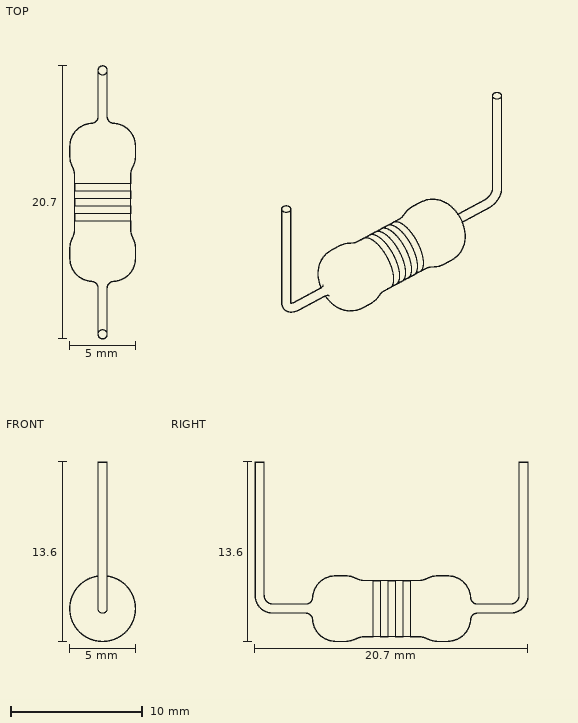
import math

import cadquery as cq

lead_diameter = 0.7
lead_pitch = 20.0
lead_height = 11.1
bend_radius = 1.0

body_length = 12.0
cap_diameter = 5.0
waist_diameter = 4.27
cap_straight_length = 0.8
cap_corner_radius = 1.75
shoulder_radius = 1.5
neck_fillet = 0.5

band_diameter = 4.25
band_count = 3
band_width = 0.565
band_spacing = 2 * band_width

lead_radius = lead_diameter / 2
lead_reach = lead_pitch / 2
cap_radius = cap_diameter / 2
waist_radius = waist_diameter / 2


def point_on_arc(center, radius, angle):
    """Point at an angle in radians, counted from the radial direction towards +Y."""
    return (center[0] + radius * math.cos(angle), center[1] + radius * math.sin(angle))


def half_body():
    """Half of the body on the +Y side, with rounded cap, shouldered waist and neck."""
    corner_center = (cap_radius - cap_corner_radius, body_length / 2 - cap_corner_radius)

    step = cap_radius - waist_radius
    turn = math.acos(1 - step / (2 * shoulder_radius))
    shoulder_end = corner_center[1] - cap_straight_length
    waist_end = shoulder_end - 2 * shoulder_radius * math.sin(turn)
    hollow_center = (waist_radius + shoulder_radius, waist_end)
    crown_center = (cap_radius - shoulder_radius, shoulder_end)

    neck_radial = lead_radius + neck_fillet
    center_distance = cap_corner_radius + neck_fillet
    contact_angle = math.acos((neck_radial - corner_center[0]) / center_distance)
    neck_center = (neck_radial, point_on_arc(corner_center, center_distance, contact_angle)[1])
    neck_mid_angle = math.pi + contact_angle / 2

    profile = (
        cq.Workplane("XY")
        .lineTo(waist_radius, 0)
        .lineTo(waist_radius, waist_end)
        .threePointArc(
            point_on_arc(hollow_center, shoulder_radius, math.pi - turn / 2),
            point_on_arc(hollow_center, shoulder_radius, math.pi - turn),
        )
        .threePointArc(
            point_on_arc(crown_center, shoulder_radius, -turn / 2),
            (cap_radius, shoulder_end),
        )
        .lineTo(cap_radius, corner_center[1])
        .threePointArc(
            point_on_arc(corner_center, cap_corner_radius, contact_angle / 2),
            point_on_arc(corner_center, cap_corner_radius, contact_angle),
        )
        .threePointArc(
            point_on_arc(neck_center, neck_fillet, neck_mid_angle),
            (lead_radius, neck_center[1]),
        )
        .lineTo(0, neck_center[1])
        .close()
    )
    return profile.revolve(360, (0, 0, 0), (0, 1, 0))


def band_groove(y_center):
    """Thin ring of material to remove around the waist."""
    return (
        cq.Workplane("XZ", origin=(0, y_center + band_width / 2, 0))
        .circle(cap_radius)
        .circle(band_diameter / 2)
        .extrude(band_width)
    )


def bent_lead():
    """Lead from the body centre along +Y, bent upwards to its tip."""
    bend_start = lead_reach - bend_radius
    bend_mid = (
        bend_start + bend_radius * math.sin(math.pi / 4),
        bend_radius * (1 - math.cos(math.pi / 4)),
    )
    path = (
        cq.Workplane("YZ")
        .lineTo(bend_start, 0)
        .threePointArc(bend_mid, (lead_reach, bend_radius))
        .lineTo(lead_reach, lead_height)
    )
    return cq.Workplane("XZ").circle(lead_radius).sweep(path)


half_resistor = half_body().union(bent_lead())
result = half_resistor.union(half_resistor.mirror("XZ")).clean()
for index in range(band_count):
    result = result.cut(band_groove((index - (band_count - 1) / 2) * band_spacing))